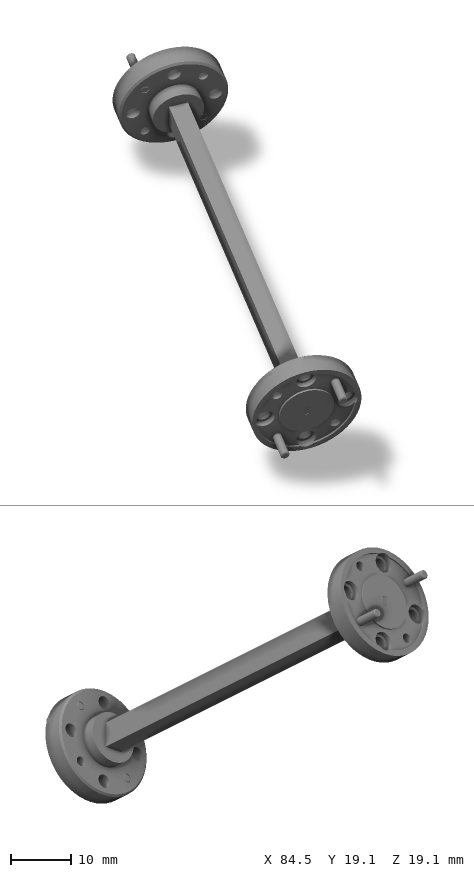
import cadquery as cq
import math


overall_length = 84.45
pin_projection = 4.2
face_x = overall_length / 2 - pin_projection

flange_diameter = 19.1
flange_thickness = 3.8
flange_chamfer = 0.3
hub_diameter = 8.95
hub_length = 2.4

tube_width = 3.3
tube_height = 4.4
window_width = 0.85
window_height = 1.9
window_depth = 0.1

relief_outer_diameter = 17.1
relief_inner_diameter = 9.55
relief_depth = 0.3

hole_circle_radius = 7.2
bolt_hole_diameter = 2.4
counterbore_diameter = 3.4
counterbore_depth = 1.35
bolt_angles = [0, 90, 180, 270]

pin_diameter = 1.5
pin_chamfer = 0.2
pin_length = pin_projection + flange_thickness
free_hole_diameter = 1.7
pin_angles = [45, 225]
free_hole_angles = [135, 315]


def cylinder(diameter, start_x, length):
    """Cylinder on the X axis running from start_x towards +X."""
    return cq.Workplane("YZ").workplane(offset=start_x).circle(diameter / 2).extrude(length)


def cylinders_at(angles, diameter, start_x, length):
    """Equal cylinders on the hole circle, at angles measured from +Y towards +Z."""
    centers = [
        (
            hole_circle_radius * math.cos(math.radians(angle)),
            hole_circle_radius * math.sin(math.radians(angle)),
        )
        for angle in angles
    ]
    plane = cq.Workplane("YZ").workplane(offset=start_x)
    return plane.pushPoints(centers).circle(diameter / 2).extrude(length)


def at_left_end(right_part):
    """Turn a +X end part half a turn about Z to place it on the -X end."""
    return right_part.rotate((0, 0, 0), (0, 0, 1), 180)


def make_flange():
    """Flange and hub of the +X end, with the holes and the relieved mating face."""
    back_x = face_x - flange_thickness
    disc = cylinder(flange_diameter, back_x, flange_thickness).faces("<X").chamfer(flange_chamfer)
    hub = cylinder(hub_diameter, back_x - hub_length, hub_length)
    relief = cylinder(relief_outer_diameter, face_x - relief_depth, relief_depth).cut(
        cylinder(relief_inner_diameter, face_x - relief_depth, relief_depth)
    )
    bolt_holes = cylinders_at(bolt_angles, bolt_hole_diameter, back_x, flange_thickness)
    counterbores = cylinders_at(
        bolt_angles, counterbore_diameter, face_x - counterbore_depth, counterbore_depth
    )
    pin_seats = cylinders_at(pin_angles, pin_diameter, back_x, flange_thickness)
    free_holes = cylinders_at(free_hole_angles, free_hole_diameter, back_x, flange_thickness)
    window = cq.Workplane("XY").box(window_depth, window_width, window_height)
    window = window.translate((face_x - window_depth / 2, 0, 0))

    flange = disc.union(hub)
    for cutter in (relief, bolt_holes, counterbores, pin_seats, free_holes, window):
        flange = flange.cut(cutter)
    return flange


def make_waveguide():
    """Tube and both flanges as one solid."""
    tube_length = 2 * (face_x - flange_thickness - hub_length)
    tube = cq.Workplane("XY").box(tube_length, tube_width, tube_height)
    flange = make_flange()
    return tube.union(flange).union(at_left_end(flange))


def make_pins():
    """Two pins of the +X end, flush with the flange back and chamfered at both ends."""
    pins = cylinders_at(pin_angles, pin_diameter, face_x - flange_thickness, pin_length)
    return pins.faces("<X or >X").chamfer(pin_chamfer)


waveguide = make_waveguide()
right_pins = make_pins()
left_pins = at_left_end(right_pins)

result = cq.Compound.makeCompound(
    [waveguide.val(), *right_pins.solids().vals(), *left_pins.solids().vals()]
)